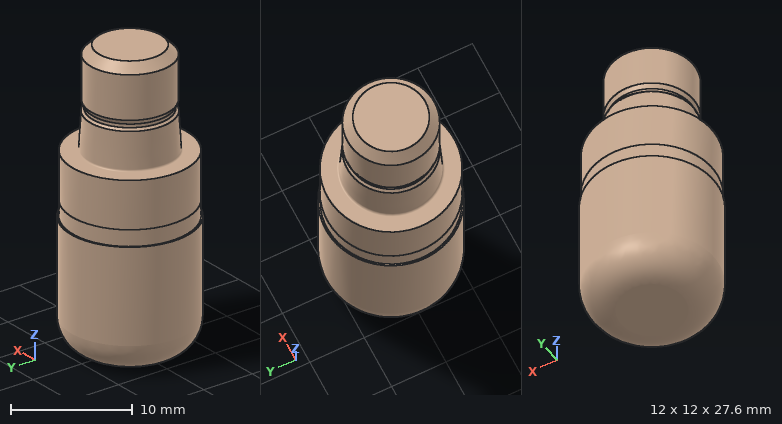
import cadquery as cq
import math

total_height = 27.6

cap_radius = 6.003
cap_edge_radius = 3.0
cap_step_height = 12.0
collar_radius = 5.85
joint_height = 13.52

shoulder_height = 18.02
neck_base_radius = 4.22
neck_fillet = 0.22
neck_top_radius = 4.03
neck_top_height = 21.6
groove_radius = 3.78
groove_bottom_height = 21.83
groove_top_height = 22.15
head_radius = 4.0
head_bottom_height = 22.6
head_chamfer = 0.85


def make_cap():
    """Cap with a rounded lower edge, topped by its narrower collar."""
    body = cq.Workplane("XY").circle(cap_radius).extrude(cap_step_height)
    body = body.faces("<Z").edges().fillet(cap_edge_radius)
    collar_length = joint_height - cap_step_height
    return body.faces(">Z").workplane().circle(collar_radius).extrude(collar_length)


def make_plunger():
    """Revolved plunger standing on the flat top of the cap collar."""
    fillet_bottom_radius = neck_base_radius + neck_fillet
    fillet_top_height = shoulder_height + neck_fillet
    fillet_inset = neck_fillet * (1 - math.sqrt(0.5))
    fillet_middle = (neck_base_radius + fillet_inset, shoulder_height + fillet_inset)

    section = (
        cq.Workplane("XZ")
        .moveTo(0, joint_height)
        .lineTo(collar_radius, joint_height)
        .lineTo(collar_radius, shoulder_height)
        .lineTo(fillet_bottom_radius, shoulder_height)
        .threePointArc(fillet_middle, (neck_base_radius, fillet_top_height))
        .lineTo(neck_top_radius, neck_top_height)
        .lineTo(groove_radius, groove_bottom_height)
        .lineTo(groove_radius, groove_top_height)
        .lineTo(head_radius, head_bottom_height)
        .lineTo(head_radius, total_height - head_chamfer)
        .lineTo(head_radius - head_chamfer, total_height)
        .lineTo(0, total_height)
        .close()
    )
    return section.revolve(360, (0, 0, 0), (0, 1, 0))


cap = make_cap()
plunger = make_plunger()

result = cq.Compound.makeCompound([cap.val(), plunger.val()])